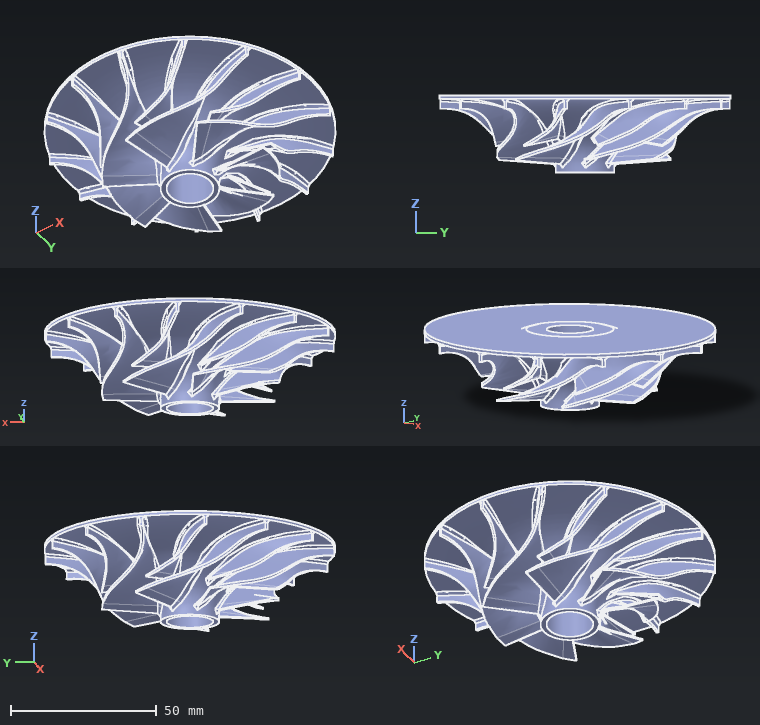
import cadquery as cq
import math

rim_radius = 50.0
wheel_height = 26.5
bore_radius = 8.0
nose_radius = 10.1
rim_thickness = 1.2
back_boss_radius = 15.0
dish_radius = 25.0
dish_depth = 1.6
dish_rim_slope = 0.03
dish_boss_slope = 0.5

blade_pairs = 7
pair_pitch = 360.0 / blade_pairs
first_trailing_angle = -84.7
blade_radius = rim_radius - 0.1
blade_thickness = 0.9
leading_edge_thickness = 0.5
foot_flare = 1.4
foot_height = 1.0
root_overlap = 0.8
full_leading_edge_share = 0.1
splitter_leading_edge_share = 0.055
trailing_overrun = 0.01
side_points = 9

root_stations = [
    (nose_radius, 3.0, 69.0),
    (10.6, 6.0, 52.5),
    (11.5, 8.3, 43.0),
    (14.0, 11.8, 31.5),
    (18.0, 15.6, 21.0),
    (23.0, 19.3, 15.0),
    (31.0, 22.7, 9.5),
    (rim_radius, wheel_height - rim_thickness, 0.0),
]
tip_stations = [
    (30.2, 4.5, 70.0),
    (30.3, 6.2, 57.5),
    (30.4, 7.8, 46.0),
    (30.7, 9.3, 35.5),
    (33.0, 14.0, 15.5),
    (37.3, 18.5, 6.8),
    (43.0, 21.2, 2.6),
    (rim_radius, 21.9, 0.0),
]
station_count = len(root_stations)
splitter_station = 3
splitter_start = splitter_station / (station_count - 1)

origin = cq.Vector(0, 0, 0)
axis = cq.Vector(0, 0, 1)


def camber_line(stations):
    """Smooth curve through cylindrical stations, trailing edge at angle zero."""
    points = []
    for radius, height, wrap in stations:
        angle = math.radians(-wrap)
        points.append(cq.Vector(radius * math.cos(angle), radius * math.sin(angle), height))
    parameters = [i / (station_count - 1) for i in range(station_count)]
    return cq.Edge.makeSpline(points, parameters=parameters)


root_line = camber_line(root_stations)
tip_line = camber_line(tip_stations)


def blade_section(position, thickness, foot_reach=0.0):
    """Corners of a blade section at one place along the camber lines.

    Each side lists the sunken root, the top of the flared foot and the blade tip.
    The sunken root runs ahead of the section by foot_reach.
    """
    root = root_line.positionAt(position, mode="parameter")
    tip = tip_line.positionAt(position, mode="parameter")
    across = (tip - root).normalized()
    root_tangent = root_line.tangentAt(position, mode="parameter")
    root_normal = root_tangent.cross(across).normalized()
    sunken_middle = root - across * root_overlap - root_tangent * foot_reach
    tip_normal = tip_line.tangentAt(position, mode="parameter").cross(across).normalized()
    sides = []
    for side in (-1, 1):
        sunken_root = sunken_middle + root_normal * side * (thickness / 2 + foot_flare)
        foot_top = root + across * foot_height + root_normal * side * thickness / 2
        blade_tip = tip + tip_normal * side * thickness / 2
        sides.append([sunken_root, foot_top, blade_tip])
    return sides[0] + sides[1][::-1]


def end_cap(corners):
    """Faces closing a blade end, as one strip each for the foot and the vane."""
    rungs = [cq.Edge.makeLine(corners[i], corners[-1 - i]) for i in range(len(corners) // 2)]
    return [cq.Face.makeRuledSurface(low, high) for low, high in zip(rungs, rungs[1:])]


def blade(start, leading_edge_share):
    """Blade with a flared foot and a thin leading edge, cut off at the rim."""
    body_start = start + leading_edge_share
    body_length = 1 + trailing_overrun - body_start
    leading = blade_section(start, leading_edge_thickness, foot_flare)
    body = []
    for i in range(side_points):
        position = body_start + body_length * i / (side_points - 1)
        body.append(blade_section(position, blade_thickness))

    corner_count = len(leading)
    leading_lines = [cq.Edge.makeLine(leading[c], body[0][c]) for c in range(corner_count)]
    body_lines = [cq.Edge.makeSpline([section[c] for section in body]) for c in range(corner_count)]
    faces = end_cap(leading) + end_cap(body[-1])
    for lines in (leading_lines, body_lines):
        for c in range(corner_count):
            faces.append(cq.Face.makeRuledSurface(lines[c - 1], lines[c]))
    untrimmed = cq.Solid.makeSolid(cq.Shell.makeShell(faces)).fix()
    envelope = cq.Solid.makeCylinder(blade_radius, wheel_height).rotate(origin, axis, 180)
    return untrimmed.intersect(envelope)


def wheel_body():
    """Hub and back plate turned about Z, with a dished back."""
    hub_curve = [(radius, height) for radius, height, wrap in root_stations]
    outline = (
        cq.Workplane("XZ")
        .moveTo(bore_radius, 0)
        .lineTo(nose_radius, 0)
        .spline(hub_curve, includeCurrent=True)
        .lineTo(rim_radius, wheel_height)
        .spline(
            [(dish_radius, wheel_height - dish_depth), (back_boss_radius, wheel_height)],
            tangents=[(-1, -dish_rim_slope), (-1, dish_boss_slope)],
            includeCurrent=True,
        )
        .lineTo(bore_radius, wheel_height)
        .close()
    )
    return outline.revolve(360, (0, 0, 0), (0, 1, 0))


full_blade = blade(0.0, full_leading_edge_share)
splitter_blade = blade(splitter_start, splitter_leading_edge_share)
blades = []
for pair in range(blade_pairs):
    full_angle = first_trailing_angle + pair * pair_pitch
    blades.append(full_blade.rotate(origin, axis, full_angle))
    blades.append(splitter_blade.rotate(origin, axis, full_angle + pair_pitch / 2))
result = cq.Workplane(wheel_body().val().fuse(*blades))